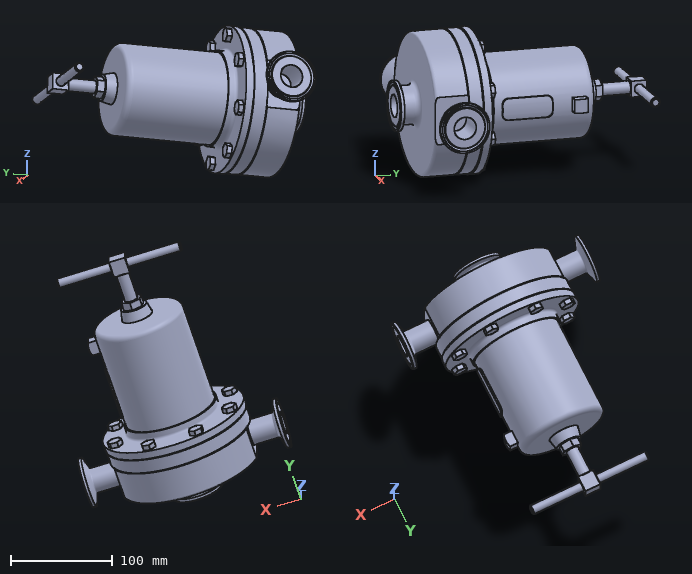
import cadquery as cq
import math


FERRULE_RADIUS = 25.2
FERRULE_RIM = 3.4
FERRULE_CONE_ANGLE = 20.0
FERRULE_NECK_FILLET = 1.2
GROOVE_INNER_RADIUS = 20.3
GROOVE_FLOOR_RADIUS = 20.9
GROOVE_OUTER_RADIUS = 23.3
GROOVE_DEPTH = 1.2
GROOVE_ARC_RADIUS = 3.0
BORE_RADIUS = 11.3

PORT_SPAN = 204.22
SIDE_PIPE_RADIUS = 12.8
BOTTOM_PIPE_RADIUS = 19.4
BOTTOM_ROOT_FILLET = 5.8
BOTTOM_BORE_DEPTH = 11.4
BOTTOM_PORT_LENGTH = 21.3

BODY_BOTTOM = -20.7
PORT_BOTTOM = BODY_BOTTOM - BOTTOM_PORT_LENGTH
COLLAR_BOTTOM = 14.1
JOINT_RADIUS = 71.8
JOINT_GAP = 0.7
BODY_RADIUS = 72.2
BODY_EDGE_FILLET = 3.4
BODY_FLAT_SPAN = 136.2
SIDE_PORT_LENGTH = (PORT_SPAN - BODY_FLAT_SPAN) / 2
COLLAR_RADIUS = 72.4
COLLAR_TOP = 28.0
FLANGE_RADIUS = 146.05 / 2
FLANGE_TOP = 36.9

BASE_RING_RADIUS = 47.6
BASE_RING_TOP = 46.2
BASE_RING_FILLET = 3.3
BONNET_RADIUS = 45.9
BONNET_TOP = 150.8
BONNET_EDGE_FILLET = 6.2
NECK_BOTTOM_RADIUS = 15.7
NECK_TOP_RADIUS = 13.2
NECK_TOP = 161.6

OVERALL_LENGTH = 257.56
HANDLE_TOP = PORT_BOTTOM + OVERALL_LENGTH
STEM_RADIUS = 6.6
LOCKNUT_CORNERS = 22.0
LOCKNUT_TOP = 169.5
LOCKNUT_TURN = 7.0
HUB_SIZE = 16.5
HANDLE_LENGTH = 127.4
HANDLE_RADIUS = 4.8
HANDLE_CHAMFER = 1.2

BOLT_COUNT = 8
BOLT_CIRCLE_RADIUS = 63.9
BOLT_HEAD_CORNERS = 14.66
BOLT_HEAD_HEIGHT = 5.2
HALF_HEX_ANGLE = 360 / 6 / 2

PLUG_SIZE = 14.0
PLUG_Y = 134.2
PLUG_EDGE_X = 53.8
PLUG_TIP_X = 55.3
PLATE_RADIUS = 47.6
PLATE_LENGTH = 51.4
PLATE_WIDTH = 22.0
PLATE_CORNER = 6.0
PLATE_Y = 81.1


def disc(radius, y_start, y_end):
    """Cylinder on the main axis between two Y stations."""
    return cq.Workplane("XZ", origin=(0, y_start, 0)).circle(radius).extrude(y_start - y_end)


def hexagon(corners, y_start, y_end, turn, x=0, z=0):
    """Hexagonal prism along Y, its corners turned by an angle about its own axis."""
    prism = cq.Workplane("XZ").polygon(6, corners).extrude(y_start - y_end)
    return prism.rotate((0, 0, 0), (0, 1, 0), -turn).translate((x, y_start, z))


def port(pipe_radius, length):
    """Ferrule and pipe along +Y, with the sealing face at Y = 0."""
    cone_length = (FERRULE_RADIUS - pipe_radius) * math.tan(math.radians(FERRULE_CONE_ANGLE))
    cone_end = FERRULE_RIM + cone_length
    outline = (
        cq.Workplane("XY")
        .lineTo(FERRULE_RADIUS, 0)
        .lineTo(FERRULE_RADIUS, FERRULE_RIM)
        .lineTo(pipe_radius, cone_end)
        .lineTo(pipe_radius, length)
        .lineTo(0, length)
        .close()
    )
    blank = outline.revolve(360, (0, 0, 0), (0, 1, 0))
    neck = cq.selectors.BoxSelector(
        (-FERRULE_RADIUS, FERRULE_RIM + cone_length / 2, -FERRULE_RADIUS),
        (FERRULE_RADIUS, cone_end + FERRULE_NECK_FILLET, FERRULE_RADIUS),
    )
    blank = blank.edges("%CIRCLE").edges(neck).fillet(FERRULE_NECK_FILLET)
    groove = (
        cq.Workplane("XY")
        .moveTo(GROOVE_INNER_RADIUS, 0)
        .lineTo(GROOVE_FLOOR_RADIUS, GROOVE_DEPTH)
        .radiusArc((GROOVE_OUTER_RADIUS, 0), GROOVE_ARC_RADIUS)
        .close()
        .revolve(360, (0, 0, 0), (0, 1, 0))
    )
    return blank.cut(groove)


def body():
    """Round body with a flat under each side port, then collar and flange, a thin joint gap below each."""
    shell = disc(BODY_RADIUS, BODY_BOTTOM, COLLAR_BOTTOM - JOINT_GAP)
    shell = shell.faces("<Y").edges().fillet(BODY_EDGE_FILLET)
    joints = disc(JOINT_RADIUS, BODY_BOTTOM + BODY_EDGE_FILLET, FLANGE_TOP)
    shell = shell.union(joints)
    flats = cq.Workplane("XY").box(BODY_FLAT_SPAN, 4 * BODY_RADIUS, 4 * BODY_RADIUS)
    shell = shell.intersect(flats)
    collar = disc(COLLAR_RADIUS, COLLAR_BOTTOM, COLLAR_TOP)
    flange = disc(FLANGE_RADIUS, COLLAR_TOP + JOINT_GAP, FLANGE_TOP)
    return shell.union(collar).union(flange)


def bonnet():
    """Spring housing: flared base ring, rounded cylinder and conical neck."""
    ring = disc(BASE_RING_RADIUS, FLANGE_TOP, BASE_RING_TOP)
    flare = root_fillet(BASE_RING_RADIUS, FLANGE_TOP, BASE_RING_FILLET)
    housing = disc(BONNET_RADIUS, BASE_RING_TOP, BONNET_TOP).faces(">Y").edges().fillet(BONNET_EDGE_FILLET)
    neck = (
        cq.Workplane("XY")
        .moveTo(0, BONNET_TOP)
        .lineTo(NECK_BOTTOM_RADIUS, BONNET_TOP)
        .lineTo(NECK_TOP_RADIUS, NECK_TOP)
        .lineTo(0, NECK_TOP)
        .close()
        .revolve(360, (0, 0, 0), (0, 1, 0))
    )
    return ring.union(flare).union(housing).union(neck)


def root_fillet(radius, y_root, size):
    """Concave ring joining a cylinder to the face at y_root; a negative size goes toward -Y."""
    reach = abs(size)
    bend = 1 - math.sqrt(0.5)
    return (
        cq.Workplane("XY")
        .moveTo(0, y_root)
        .lineTo(radius + reach, y_root)
        .threePointArc((radius + reach * bend, y_root + size * bend), (radius, y_root + size))
        .lineTo(0, y_root + size)
        .close()
        .revolve(360, (0, 0, 0), (0, 1, 0))
    )


def bolts():
    """Hexagon bolt heads on the flange, each with one side facing the main axis."""
    pitch = 360 / BOLT_COUNT
    head_top = FLANGE_TOP + BOLT_HEAD_HEIGHT
    heads = cq.Workplane("XY")
    for index in range(BOLT_COUNT):
        angle = (index + 0.5) * pitch
        x = BOLT_CIRCLE_RADIUS * math.cos(math.radians(angle))
        z = BOLT_CIRCLE_RADIUS * math.sin(math.radians(angle))
        heads = heads.union(hexagon(BOLT_HEAD_CORNERS, FLANGE_TOP, head_top, angle + HALF_HEX_ANGLE, x, z))
    return heads


def handle():
    """Locknut, screw stem and T-handle."""
    hub_y = HANDLE_TOP - HUB_SIZE / 2
    locknut = hexagon(LOCKNUT_CORNERS, NECK_TOP, LOCKNUT_TOP, 90 + LOCKNUT_TURN)
    stem = disc(STEM_RADIUS, LOCKNUT_TOP, hub_y)
    hub = cq.Workplane("XY").box(HUB_SIZE, HUB_SIZE, HUB_SIZE).translate((0, hub_y, 0))
    bar = cq.Workplane("YZ").circle(HANDLE_RADIUS).extrude(HANDLE_LENGTH / 2, both=True)
    bar = bar.faces("<X or >X").edges().chamfer(HANDLE_CHAMFER).translate((0, hub_y, 0))
    return locknut.union(stem).union(hub).union(bar)


def vent_plug():
    """Square plug on the bonnet with an arched outer end."""
    half = PLUG_SIZE / 2
    return (
        cq.Workplane("XY")
        .moveTo(0, PLUG_Y - half)
        .lineTo(PLUG_EDGE_X, PLUG_Y - half)
        .threePointArc((PLUG_TIP_X, PLUG_Y), (PLUG_EDGE_X, PLUG_Y + half))
        .lineTo(0, PLUG_Y + half)
        .close()
        .extrude(half, both=True)
    )


def name_plate():
    """Thin plate with rounded corners, wrapped on the bonnet."""
    blank = (
        cq.Workplane("YZ")
        .rect(PLATE_LENGTH, PLATE_WIDTH)
        .extrude(FLANGE_RADIUS)
        .edges("|X")
        .fillet(PLATE_CORNER)
        .translate((0, PLATE_Y, 0))
    )
    return blank.intersect(disc(PLATE_RADIUS, BASE_RING_TOP, BONNET_TOP))


def bottom_port():
    """Port on the main axis, blended into the body with a concave fillet."""
    fillet = root_fillet(BOTTOM_PIPE_RADIUS, BODY_BOTTOM, -BOTTOM_ROOT_FILLET)
    return port(BOTTOM_PIPE_RADIUS, BOTTOM_PORT_LENGTH).translate((0, PORT_BOTTOM, 0)).union(fillet)


def side_ports():
    """Matching ports standing on the two body flats."""
    standing = port(SIDE_PIPE_RADIUS, SIDE_PORT_LENGTH).translate((0, -PORT_SPAN / 2, 0))
    left = standing.rotate((0, 0, 0), (0, 0, 1), -90)
    return left.union(left.mirror("YZ"))


def bores():
    """Blind bores; the side ones end level with the body flats."""
    bottom = disc(BORE_RADIUS, PORT_BOTTOM, PORT_BOTTOM + BOTTOM_BORE_DEPTH)
    left = cq.Workplane("YZ", origin=(-PORT_SPAN / 2, 0, 0)).circle(BORE_RADIUS).extrude(SIDE_PORT_LENGTH)
    return bottom.union(left).union(left.mirror("YZ"))


result = body()
for section in (bonnet(), bolts(), handle(), vent_plug(), name_plate(), bottom_port(), side_ports()):
    result = result.union(section)
result = result.cut(bores())